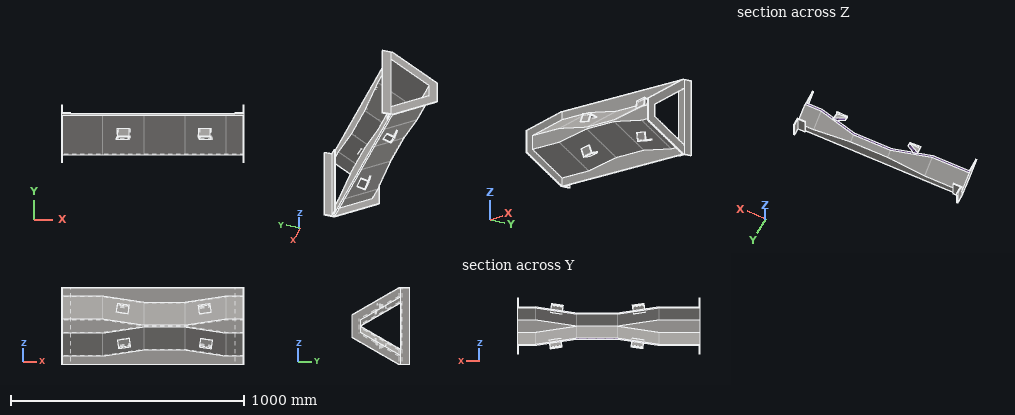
import cadquery as cq
import math

length = 784.0
height = 330.0
depth = 248.0
sheet = 6.0
mount_leg = 40.0
mount_depth = 38.5
mount_thickness = 6.0

slope = math.radians(30)
front_y = mount_depth - depth
flat_depth = 7.45
nose_half = height / 2 - (-front_y - flat_depth) * math.tan(slope)

channel_inset = 31.0
waist_gap = 0.4
bend_pitch = 176.5
first_bend = 177.0
bends = [first_bend + bend_pitch * count for count in range(4)]

cleat_leg = 38.5
cleat_thickness = 5.0
cleat_length = 51.0
cleat_y = -86.0
cleat_shift = 2.75


def nose_height(inset):
    """Half height of the nose after moving the outline inward by inset."""
    return nose_half - inset * (1 / math.cos(slope) - math.tan(slope))


inner_inset = channel_inset + sheet
waist_drop = nose_height(inner_inset) - waist_gap


def channel_section(x, inset, drop):
    nose_y = front_y + inset
    nose_z = nose_height(inset) - drop
    back_z = nose_z - nose_y * math.tan(slope)
    points = [(0, -back_z), (0, back_z), (nose_y, nose_z), (nose_y, -nose_z)]
    return cq.Wire.makePolygon([cq.Vector(x, y, z) for y, z in points], close=True)


def channel_block(inset):
    """Solid whose sloped faces are straight at the ends and narrow to the waist."""
    stations = [0, *bends, length]
    drops = [0, 0, waist_drop, waist_drop, 0, 0]
    sections = [channel_section(x, inset, drop) for x, drop in zip(stations, drops)]
    block = cq.Workplane(cq.Solid.makeLoft(sections[:2], True))
    for start in range(1, len(sections) - 1):
        block = block.union(cq.Workplane(cq.Solid.makeLoft(sections[start:start + 2], True)))
    return block


def end_plate(x):
    half_outline = [(0, height / 2), (-flat_depth, height / 2), (front_y, nose_half)]
    mirrored = [(y, -z) for y, z in reversed(half_outline)]
    return cq.Workplane("YZ", origin=(x, 0, 0)).polyline(half_outline + mirrored).close().extrude(sheet)


def make_casing():
    back_flange = cq.Workplane("XY").box(length, flat_depth, height, centered=(False, False, True))
    casing = channel_block(channel_inset).union(back_flange.translate((0, -flat_depth, 0)))
    for x in (0, length - sheet):
        casing = casing.union(end_plate(x))
    return casing.cut(channel_block(inner_inset))


def l_profile(width, rise, thickness):
    """Corner at the origin, legs along the positive axes."""
    return [(0, 0), (width, 0), (width, thickness), (thickness, thickness), (thickness, rise), (0, rise)]


def make_mount(side):
    """Full-height angle: one leg on the casing back, the other flush with its end."""
    profile = l_profile(mount_leg, mount_depth, mount_thickness)
    points = [(length / 2 + side * (x - length / 2), y) for x, y in profile]
    return cq.Workplane("XY", origin=(0, 0, -height / 2)).polyline(points).close().extrude(height)


def make_cleat(middle_x, side, fall):
    """Cleat on a tapered stretch whose sheet falls toward +X by fall per unit length."""
    along = cq.Vector(1, 0, -fall).normalized()
    normal = cq.Vector(fall, -math.tan(slope), 1).normalized()
    x = middle_x - side * cleat_shift
    nose_y = front_y + channel_inset
    z = nose_height(channel_inset) - waist_drop / 2 + (cleat_y - nose_y) * math.tan(slope)
    z += side * cleat_shift * fall
    seat = cq.Plane(origin=(x, cleat_y, z), xDir=normal.cross(along), normal=along)
    rise = cleat_leg / math.sqrt(2)
    cleat = (
        cq.Workplane(seat)
        .polyline(l_profile(cleat_leg, cleat_leg, cleat_thickness))
        .close()
        .extrude(cleat_length / 2, both=True)
        .rotate(seat.origin.toTuple(), (seat.origin + along).toTuple(), -135)
        .translate(normal * rise)
    )
    return cleat if side > 0 else cleat.mirror("XY")


casing = make_casing()
mounts = [make_mount(side) for side in (1, -1)]

cleats = []
for taper_start, taper_sign in ((bends[0], 1), (bends[2], -1)):
    for side in (1, -1):
        taper = taper_sign * waist_drop / bend_pitch
        cleats.append(make_cleat(taper_start + bend_pitch / 2, side, taper))

result = cq.Compound.makeCompound([body.val() for body in [casing, *mounts, *cleats]])